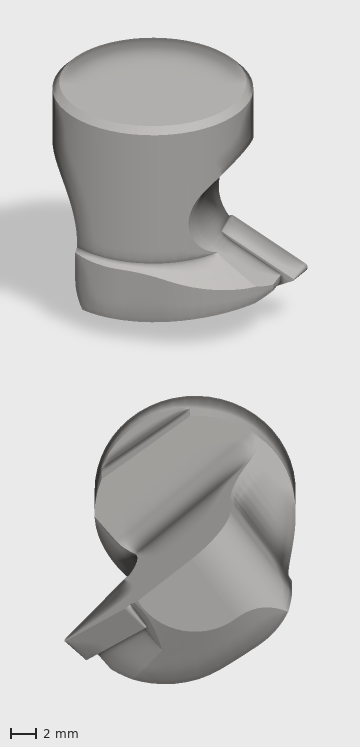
import cadquery as cq
import math


shank_radius = 8.004
total_height = 18.8
top_chamfer = 0.55

half_angle = 27.5
insert_side = 7.75
insert_thickness = 2.38
insert_clearance = 7
nose_radius = 0.4
nose_height = 4.05
nose_overshoot = nose_radius / math.sin(math.radians(half_angle)) - nose_radius
nose_reach = 12.84
sharp_reach = nose_reach + nose_overshoot

rake_turn = 3.8
rake_offset = 0.83

foot_left = -4.28
foot_front = -8.72
foot_flat_end = 3.86
foot_nose_arc = 8.14
foot_left_arc = 7.0
foot_cone_radius = 13.09

left_relief_arc = 8.0
left_relief_bottom = 7.03
heel_radius = 4.0

flank_setback = 0.6
blunt_reach = 11.45
throat_radius = 4.0
throat_reach = 5.28
toe_reach = 5.4

roof_height = 13.15
roof_slope = 5
roof_fillet = 2.8 / 2
step_offset = 6.72
step_height = 15.61
step_fillet = 0.2

margin = 20.87
slope = math.tan(math.radians(half_angle))


def turned(shape):
    """Turn a shape from rake-plane directions into place."""
    return shape.rotate((0, 0, 0), (0, 0, 1), -rake_turn)


def side_plane(y):
    """XZ plane at the given y whose extrusion runs toward -Y."""
    return cq.Workplane("XZ", origin=(0, y, 0))


def make_shank():
    """Chamfered cylinder standing on the upper cone of the foot."""
    shank_bottom = nose_height + slope * (foot_cone_radius - shank_radius)
    return (
        cq.Workplane("XY", origin=(0, 0, shank_bottom))
        .circle(shank_radius)
        .extrude(total_height - shank_bottom)
        .faces(">Z").chamfer(top_chamfer)
    )


def make_foot():
    """Plan outline of the foot, trimmed above and below by two cones."""
    nose_arc_y = foot_front + foot_nose_arc
    left_arc_y = foot_front + foot_left_arc
    half_left = foot_left / 2
    left_corner_y = left_arc_y - math.sqrt(foot_left_arc**2 - foot_left**2)
    left_middle_y = left_arc_y - math.sqrt(foot_left_arc**2 - half_left**2)
    mid = math.sqrt(0.5)
    outline = (
        cq.Workplane("XY")
        .moveTo(foot_left, shank_radius)
        .lineTo(foot_left, left_corner_y)
        .threePointArc((half_left, left_middle_y), (0, foot_front))
        .lineTo(foot_flat_end, foot_front)
        .threePointArc(
            (foot_flat_end + mid * foot_nose_arc, nose_arc_y - mid * foot_nose_arc),
            (foot_flat_end + foot_nose_arc, nose_arc_y),
        )
        .lineTo(foot_flat_end + foot_nose_arc, shank_radius)
        .close()
        .extrude(total_height)
    )
    cone_rise = slope * foot_cone_radius
    cones = (
        cq.Workplane("XZ")
        .moveTo(0, nose_height - cone_rise)
        .lineTo(foot_cone_radius, nose_height)
        .lineTo(0, nose_height + cone_rise)
        .close()
        .revolve(360, (0, 0), (0, 1))
    )
    above_ground = cq.Workplane("XY").box(2 * margin, 2 * margin, margin, centered=(True, True, False))
    return outline.intersect(cones).intersect(above_ground)


def make_left_relief():
    """Concave sweep into the shank, straight side and rounded heel."""
    mid = math.sqrt(0.5)
    arc_x = foot_left - left_relief_arc
    heel_x = foot_left + heel_radius
    return (
        side_plane(margin)
        .moveTo(heel_x, 0)
        .threePointArc(
            (heel_x - mid * heel_radius, heel_radius - mid * heel_radius),
            (foot_left, heel_radius),
        )
        .lineTo(foot_left, left_relief_bottom)
        .threePointArc(
            (arc_x + mid * left_relief_arc, left_relief_bottom + mid * left_relief_arc),
            (arc_x, left_relief_bottom + left_relief_arc),
        )
        .lineTo(arc_x, 0)
        .close()
        .extrude(2 * margin)
    )


def make_nose_cut():
    """Throat, both nose flanks, blunt nose and toe, square to the rake plane."""
    angle = math.radians(half_angle)
    flank_reach = sharp_reach - flank_setback / math.sin(angle)
    blunt_half = slope * (flank_reach - blunt_reach)
    throat_x = throat_reach + throat_radius
    throat_z = nose_height + slope * (flank_reach - throat_x) + throat_radius / math.cos(angle)
    flank_touch = (throat_x - throat_radius * math.sin(angle), throat_z - throat_radius * math.cos(angle))
    diagonal = math.sqrt(0.5) * throat_radius
    upper_touch = (throat_x - diagonal, throat_z + diagonal)
    toe_x = (nose_height - slope * flank_reach + toe_reach) / (1 - slope)
    return turned(
        side_plane(margin)
        .moveTo(margin, upper_touch[1] + margin - upper_touch[0])
        .lineTo(*upper_touch)
        .threePointArc((throat_reach, throat_z), flank_touch)
        .lineTo(blunt_reach, nose_height + blunt_half)
        .lineTo(blunt_reach, nose_height - blunt_half)
        .lineTo(toe_x, toe_x - toe_reach)
        .lineTo(toe_reach, 0)
        .lineTo(margin, 0)
        .close()
        .extrude(2 * margin)
    )


def make_back_cut():
    """Space behind the rake plane, under a sloping roof with a filleted root."""
    roof_change = margin * math.tan(math.radians(roof_slope))
    return turned(
        side_plane(margin)
        .polyline([
            (-margin, 0),
            (margin, 0),
            (margin, roof_height - roof_change),
            (-margin, roof_height + roof_change),
        ])
        .close()
        .extrude(margin - rake_offset)
        .faces("<Y").edges(">Z").fillet(roof_fillet)
    )


def make_step_cut():
    """Shallow flat on the back of the shank."""
    return (
        cq.Workplane("XY", origin=(0, step_offset, 0))
        .box(2 * margin, margin, step_height, centered=(True, False, False))
        .edges("|X and <Y and >Z").fillet(step_fillet)
    )


def make_insert():
    angle = math.radians(half_angle)
    half_length = insert_side * math.cos(angle)
    half_width = insert_side * math.sin(angle)
    center_x = sharp_reach - half_length
    outline = (
        cq.Sketch()
        .polygon([
            (half_length, 0),
            (0, half_width),
            (-half_length, 0),
            (0, -half_width),
            (half_length, 0),
        ])
        .vertices()
        .fillet(nose_radius)
    )
    return turned(
        cq.Workplane("XZ", origin=(center_x, rake_offset, nose_height))
        .placeSketch(outline)
        .extrude(insert_thickness, taper=insert_clearance)
    )


def make_head(insert):
    return (
        make_shank()
        .union(make_foot())
        .cut(make_left_relief())
        .cut(make_nose_cut())
        .cut(make_back_cut())
        .cut(make_step_cut())
        .cut(insert)
    )


insert = make_insert()
head = make_head(insert)
result = cq.Compound.makeCompound([head.solids().val(), insert.val()])